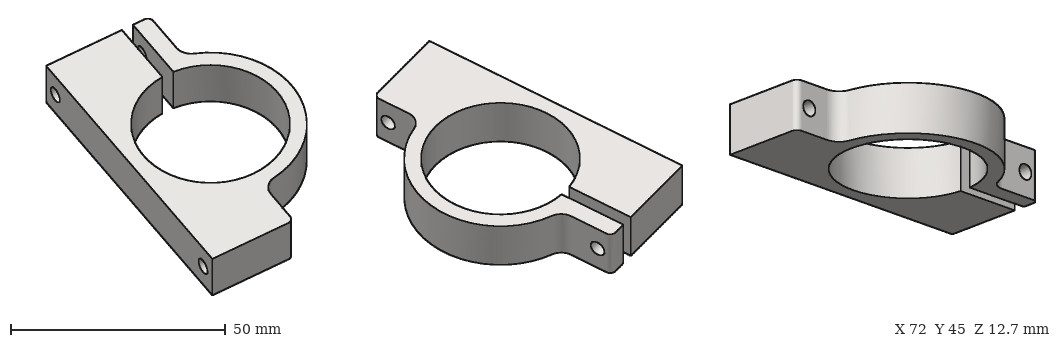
import cadquery as cq

length = 72.0
thickness = 12.7
outer_radius = 22.5
bore_radius = 18.5
slot_width = 3.0
ear_top = 28.65
blend_radius = 4.0
corner_radius = 1.5
hole_diameter = 3.9
hole_inset = 4.0

base_y = -outer_radius
ear_height = ear_top - outer_radius
half_length = length / 2


def box_between(x_min, x_max, y_min, y_max):
    """Full-thickness block, given its plan limits."""
    return (
        cq.Workplane("XY")
        .box(x_max - x_min, y_max - y_min, thickness, centered=False)
        .translate((x_min, y_min, -thickness / 2))
    )


def cylinder(radius):
    """Full-thickness disc on the ring axis."""
    return cq.Workplane("XY").circle(radius).extrude(thickness / 2, both=True)


def clamp_body():
    """Ring merged with the low right shoulder and the high left ear."""
    left = box_between(-half_length, 0, base_y, ear_height)
    left = left.edges("|Z and <X and >Y").fillet(corner_radius)
    right = box_between(0, half_length, base_y, 0)
    right = right.edges("|Z and >X and >Y").fillet(corner_radius)
    body = left.union(right).union(cylinder(outer_radius))

    ear_joint_x = -(outer_radius**2 - ear_height**2) ** 0.5
    for x, y in ((ear_joint_x, ear_height), (outer_radius, 0)):
        joint = cq.selectors.NearestToPointSelector((x, y, 0))
        body = body.edges("|Z").edges(joint).fillet(blend_radius)
    return body


def screw_holes():
    """Screw holes running through the body along Y near each end."""
    hole_x = half_length - hole_inset
    return (
        cq.Workplane("XZ")
        .pushPoints([(-hole_x, 0), (hole_x, 0)])
        .circle(hole_diameter / 2)
        .extrude(outer_radius, both=True)
    )


slot = box_between(-half_length, 0, -slot_width / 2, slot_width / 2)

result = clamp_body().cut(cylinder(bore_radius)).cut(slot).cut(screw_holes())